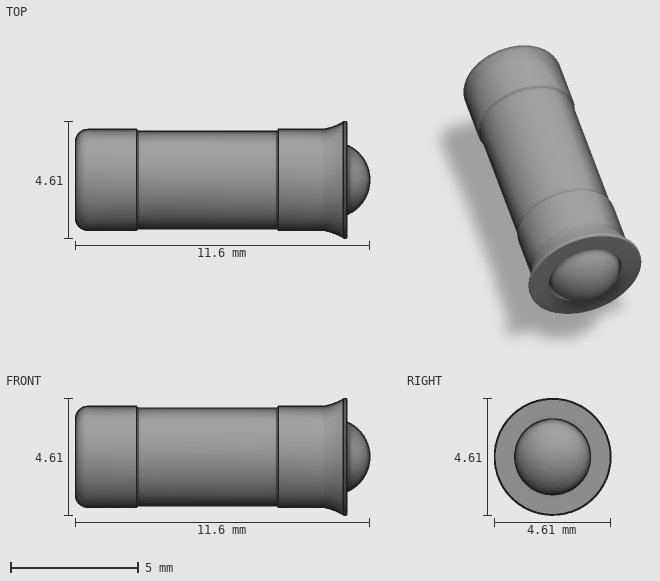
import cadquery as cq

overall_length = 11.6

ball_radius = 1.5
ball_center_x = overall_length - ball_radius

sleeve_length = 10.7
rear_land_length = 2.4
front_land_start = 8.0
flare_start = 9.79
land_chamfer = 0.07

land_radius = 2.0
waist_radius = land_radius - land_chamfer
rear_fillet = 0.5

rim_radius = 2.303
rim_width = 0.16
rim_chamfer = 0.03
flare_sag = 0.03

rear_hole_radius = 1.0
rear_wall = 0.2
bore_radius = ball_radius


def make_outer_body():
    """Revolve the outside of the sleeve: lands, waist and flared rim."""
    flare_end = sleeve_length - rim_width
    flare_end_radius = rim_radius - rim_chamfer
    flare_middle = (
        (flare_start + flare_end) / 2,
        (land_radius + flare_end_radius) / 2 - flare_sag,
    )
    profile = (
        cq.Workplane("XY")
        .lineTo(0, land_radius)
        .lineTo(rear_land_length, land_radius)
        .lineTo(rear_land_length + land_chamfer, waist_radius)
        .lineTo(front_land_start - land_chamfer, waist_radius)
        .lineTo(front_land_start, land_radius)
        .lineTo(flare_start, land_radius)
        .threePointArc(flare_middle, (flare_end, flare_end_radius))
        .lineTo(flare_end + rim_chamfer, rim_radius)
        .lineTo(sleeve_length - rim_chamfer, rim_radius)
        .lineTo(sleeve_length, flare_end_radius)
        .lineTo(sleeve_length, 0)
        .close()
    )
    body = profile.revolve(360, (0, 0, 0), (1, 0, 0))
    return body.faces("<X").edges().fillet(rear_fillet)


def make_sleeve():
    """Hollow the outer body, leaving a thin rear wall with a smaller hole."""
    rear_hole = cq.Workplane("YZ").circle(rear_hole_radius).extrude(sleeve_length)
    bore = (
        cq.Workplane("YZ", origin=(rear_wall, 0, 0))
        .circle(bore_radius)
        .extrude(sleeve_length - rear_wall)
    )
    return make_outer_body().cut(rear_hole).cut(bore).solids()


def make_ball():
    """Ball that fits the bore and stands out of the flared end."""
    return cq.Workplane("XY").sphere(ball_radius).translate((ball_center_x, 0, 0))


sleeve = make_sleeve()
ball = make_ball()

result = cq.Compound.makeCompound([sleeve.val(), ball.val()])